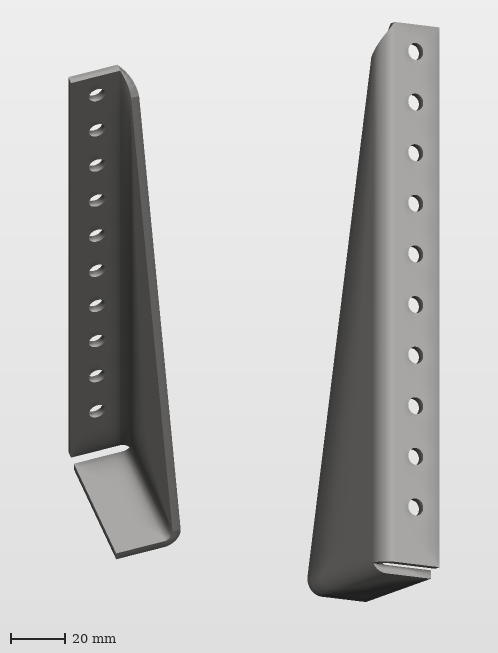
import cadquery as cq
import math

LENGTH = 53.975
WIDTH = 25.4
HEIGHT = 206.375

THICKNESS = 3.175
INNER_RADIUS = 3.175
OUTER_RADIUS = INNER_RADIUS + THICKNESS
QUARTER_TURN = 90
RING_MARGIN = INNER_RADIUS / 4

EDGE_SLOPE = 4.0
FOLD_ALLOWANCE = 3.175
SIDE_FOLD_RAMP = FOLD_ALLOWANCE * EDGE_SLOPE
BASE_FOLD_RAMP = FOLD_ALLOWANCE / EDGE_SLOPE

SIDE_BOTTOM = THICKNESS
FLANGE_WIDTH = WIDTH - OUTER_RADIUS

HOLE_COUNT = 10
HOLE_PITCH = 19.05
HOLE_DIAMETER = 6.35
HOLE_FROM_TOP = 10.16
HOLE_FROM_FRONT = 10.16


def box(x_size, y_size, z_size, corner):
    return cq.Workplane("XY").box(x_size, y_size, z_size, centered=False).translate(corner)


def ring_section(plane, start_angle, margin=0):
    """Quarter ring about the plane origin, running counterclockwise from start_angle."""
    inner = INNER_RADIUS - margin
    outer = OUTER_RADIUS + margin

    def point(radius, turn):
        angle = math.radians(start_angle + turn)
        return (radius * math.cos(angle), radius * math.sin(angle))

    return (
        cq.Workplane(plane)
        .moveTo(*point(inner, 0))
        .lineTo(*point(outer, 0))
        .threePointArc(point(outer, QUARTER_TURN / 2), point(outer, QUARTER_TURN))
        .lineTo(*point(inner, QUARTER_TURN))
        .threePointArc(point(inner, QUARTER_TURN / 2), point(inner, 0))
        .close()
    )


def fold(plane, start_angle, straight_length, ramp, twist):
    """Quarter-round fold whose far end climbs by ramp from one edge to the other.

    Twisting a thicker ring through a quarter turn sweeps it out of its own quadrant, which
    leaves an evenly climbing end face where the twisted ring and the quadrant overlap.
    """
    straight = ring_section(plane, start_angle).extrude(straight_length)
    ramp_plane = cq.Plane(
        origin=plane.origin + plane.zDir * straight_length,
        xDir=plane.xDir,
        normal=plane.zDir,
    )
    quadrant = ring_section(ramp_plane, start_angle).extrude(ramp)
    twisted = ring_section(ramp_plane, start_angle, RING_MARGIN).twistExtrude(ramp, twist)
    return straight.union(quadrant.intersect(twisted))


def make_web():
    top = HEIGHT - SIDE_FOLD_RAMP
    outline = [
        (OUTER_RADIUS, OUTER_RADIUS),
        (LENGTH - BASE_FOLD_RAMP, OUTER_RADIUS),
        (OUTER_RADIUS, top),
    ]
    back = cq.Workplane("XZ", origin=(0, WIDTH, 0))
    return back.polyline(outline).close().extrude(THICKNESS)


def make_side_flange():
    flange = box(THICKNESS, FLANGE_WIDTH, HEIGHT - SIDE_BOTTOM, (0, 0, SIDE_BOTTOM))
    centers = [
        (HOLE_FROM_FRONT, HEIGHT - HOLE_FROM_TOP - i * HOLE_PITCH) for i in range(HOLE_COUNT)
    ]
    holes = cq.Workplane("YZ").pushPoints(centers).circle(HOLE_DIAMETER / 2).extrude(THICKNESS)
    return flange.cut(holes)


def make_base_flange():
    return box(LENGTH - OUTER_RADIUS, FLANGE_WIDTH, THICKNESS, (OUTER_RADIUS, 0, 0))


def make_side_fold():
    plane = cq.Plane(origin=(OUTER_RADIUS, FLANGE_WIDTH, SIDE_BOTTOM))
    straight_length = HEIGHT - SIDE_FOLD_RAMP - SIDE_BOTTOM
    return fold(plane, QUARTER_TURN, straight_length, SIDE_FOLD_RAMP, QUARTER_TURN)


def make_base_fold():
    plane = cq.Plane(
        origin=(OUTER_RADIUS, FLANGE_WIDTH, OUTER_RADIUS), xDir=(0, 1, 0), normal=(1, 0, 0)
    )
    straight_length = LENGTH - BASE_FOLD_RAMP - OUTER_RADIUS
    return fold(plane, -QUARTER_TURN, straight_length, BASE_FOLD_RAMP, -QUARTER_TURN)


result = (
    make_web()
    .union(make_side_fold())
    .union(make_base_fold())
    .union(make_side_flange())
    .union(make_base_flange())
)